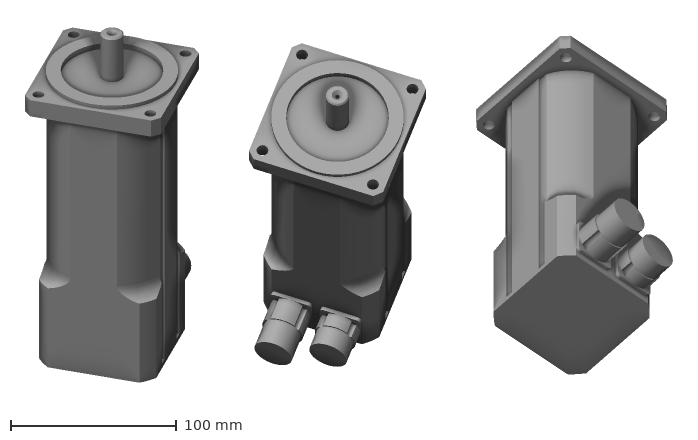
import cadquery as cq
import math

total_height = 222.0
body_width = 74.1
corner_radius = 47.0
barrel_radius = 40.0
barrel_start = 66.0
corner_fillet = 10.0

flange_width = 86.0
flange_bottom = 181.0
flange_top = 192.5
flange_chamfer = 4.7
bolt_circle = 100.1
bolt_hole_diameter = 7.0
pilot_top = 195.1
recess_diameter = 62.0
recess_depth = 4.0

shaft_diameter = 14.0
shaft_chamfer = 0.9
center_hole_diameter = 2.7
countersink_diameter = 6.9
countersink_angle = 90.0
center_hole_depth = 10.0

groove_inner = 12.0
groove_outer = 17.8
groove_depth = 1.3
groove_bottom = 3.3

connector_offset = 15.8
connector_height = 18.0
plug_diameter = 24.0
nut_diameter = 26.0
pad_corner_radius = 2.7
pad_end = 39.5
notch_count = 4
first_notch_angle = 45.0
notch_diameter = 4.2
short_nut_end = 48.5
short_plug_end = 61.0
long_nut_end = 54.5
total_depth = 114.0
long_plug_end = total_depth - flange_width / 2

body_half = body_width / 2


def vertical_cylinder(radius, bottom, top):
    return cq.Workplane("XY").workplane(offset=bottom).circle(radius).extrude(top - bottom)


def make_body():
    """Square body whose corners are turned to a smaller radius above a concave fillet."""
    square = cq.Workplane("XY").rect(body_width, body_width).extrude(flange_bottom)
    fillet_drop = math.sqrt(corner_fillet**2 - (barrel_radius + corner_fillet - corner_radius) ** 2)
    fillet_bottom = barrel_start - fillet_drop
    middle_angle = 0.5 * math.asin(fillet_drop / corner_fillet)
    fillet_middle = (
        barrel_radius + corner_fillet * (1 - math.cos(middle_angle)),
        barrel_start - corner_fillet * math.sin(middle_angle),
    )
    turned = (
        cq.Workplane("XZ")
        .moveTo(0, 0)
        .lineTo(corner_radius, 0)
        .lineTo(corner_radius, fillet_bottom)
        .threePointArc(fillet_middle, (barrel_radius, barrel_start))
        .lineTo(barrel_radius, flange_bottom)
        .lineTo(0, flange_bottom)
        .close()
        .revolve(360, (0, 0, 0), (0, 1, 0))
    )
    return square.intersect(turned)


def make_side_grooves():
    """Two shallow vertical grooves on each X side of the body."""
    groove_width = groove_outer - groove_inner
    groove_middle = (groove_inner + groove_outer) / 2
    groove_x = body_half - groove_depth / 2
    places = [(sx * groove_x, sy * groove_middle) for sx in (-1, 1) for sy in (-1, 1)]
    return (
        cq.Workplane("XY")
        .workplane(offset=groove_bottom)
        .pushPoints(places)
        .rect(groove_depth, groove_width)
        .extrude(flange_bottom - groove_bottom)
    )


def make_flange():
    """Square flange with bolt holes and a recessed round pilot."""
    hole_spacing = bolt_circle / math.sqrt(2)
    plate = (
        cq.Workplane("XY")
        .workplane(offset=flange_bottom)
        .rect(flange_width, flange_width)
        .extrude(flange_top - flange_bottom)
        .edges("|Z")
        .chamfer(flange_chamfer)
        .faces(">Z")
        .workplane()
        .rect(hole_spacing, hole_spacing, forConstruction=True)
        .vertices()
        .hole(bolt_hole_diameter)
    )
    pilot = vertical_cylinder(barrel_radius, flange_top, pilot_top)
    recess = vertical_cylinder(recess_diameter / 2, pilot_top - recess_depth, pilot_top)
    return plate.union(pilot).cut(recess)


def make_shaft():
    """Chamfered shaft end with a countersunk centre hole."""
    return (
        vertical_cylinder(shaft_diameter / 2, flange_bottom, total_height)
        .faces(">Z")
        .chamfer(shaft_chamfer)
        .faces(">Z")
        .workplane()
        .cskHole(center_hole_diameter, countersink_diameter, countersink_angle, center_hole_depth)
    )


def make_motor():
    """Body, flange and shaft as one solid."""
    return make_body().cut(make_side_grooves()).union(make_flange()).union(make_shaft())


def make_connector(x, nut_end, plug_end):
    """Rounded square pad, scalloped nut and round plug, stacked outwards from the body's +Y face."""

    def section(start):
        plane = cq.Plane(origin=(x, start, connector_height), xDir=(1, 0, 0), normal=(0, 1, 0))
        return cq.Workplane(plane)

    pad = (
        section(body_half)
        .rect(nut_diameter, nut_diameter)
        .extrude(pad_end - body_half)
        .edges("|Y")
        .fillet(pad_corner_radius)
    )
    nut_length = nut_end - pad_end
    nut = section(pad_end).circle(nut_diameter / 2).extrude(nut_length)
    notches = (
        section(pad_end)
        .polarArray(nut_diameter / 2, first_notch_angle, 360, notch_count)
        .circle(notch_diameter / 2)
        .extrude(nut_length)
    )
    plug = section(nut_end).circle(plug_diameter / 2).extrude(plug_end - nut_end)
    return pad.union(nut.cut(notches)).union(plug)


motor = make_motor()
short_connector = make_connector(-connector_offset, short_nut_end, short_plug_end)
long_connector = make_connector(connector_offset, long_nut_end, long_plug_end)

result = cq.Compound.makeCompound([motor.val(), short_connector.val(), long_connector.val()])